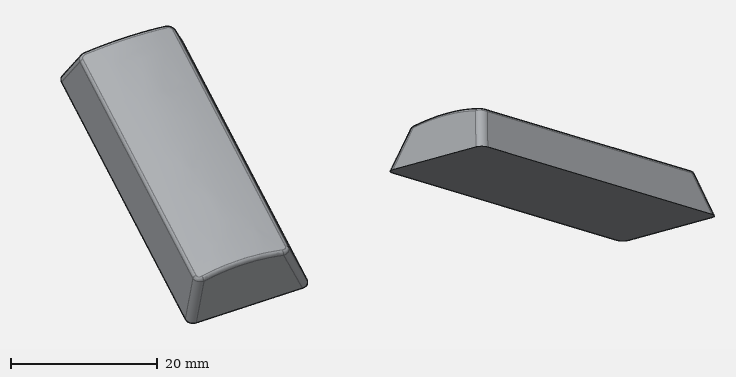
import cadquery as cq
import math

length = 46.6
width = 18.0
height = 7.2
wall_draft = 18.2

wall_inset = height * math.tan(math.radians(wall_draft))
crown_half_length = length / 2 - wall_inset
crown_half_width = width / 2 - wall_inset
crown_edge_height = 6.3
crest_drop = 0.2

corner_radius = 1.2
rim_radius = 0.65


def drafted_block():
    """Full-height block with leaning walls and rounded corner edges."""
    block = cq.Workplane("XY").rect(length, width).extrude(height, taper=wall_draft)
    corners = block.edges("not(#Z or |X or |Y)")
    return corners.fillet(corner_radius)


def crown_section(x, crest_height):
    """Closed section at x, bounded above by the crown arc across the full width."""
    rise = crest_height - crown_edge_height
    radius = (crown_half_width**2 + rise**2) / (2 * rise)
    half_width = width / 2
    side_height = crest_height - radius + math.sqrt(radius**2 - half_width**2)
    section = (
        cq.Workplane("YZ", origin=(x, 0, 0))
        .moveTo(-half_width, 0)
        .lineTo(half_width, 0)
        .lineTo(half_width, side_height)
        .threePointArc((0, crest_height), (-half_width, side_height))
        .close()
    )
    return section.wire().val()


def crown_envelope():
    """Everything under the crown, ruled straight between the sections at the two ends."""
    crest_slope = crest_drop / (2 * crown_half_length)
    overhang_rise = crest_slope * wall_inset
    high_end = crown_section(-length / 2, height + overhang_rise)
    low_end = crown_section(length / 2, height - crest_drop - overhang_rise)
    return cq.Workplane(cq.Solid.makeLoft([high_end, low_end], True))


crowned_block = drafted_block().intersect(crown_envelope())
result = crowned_block.faces(">Z").edges().fillet(rim_radius)